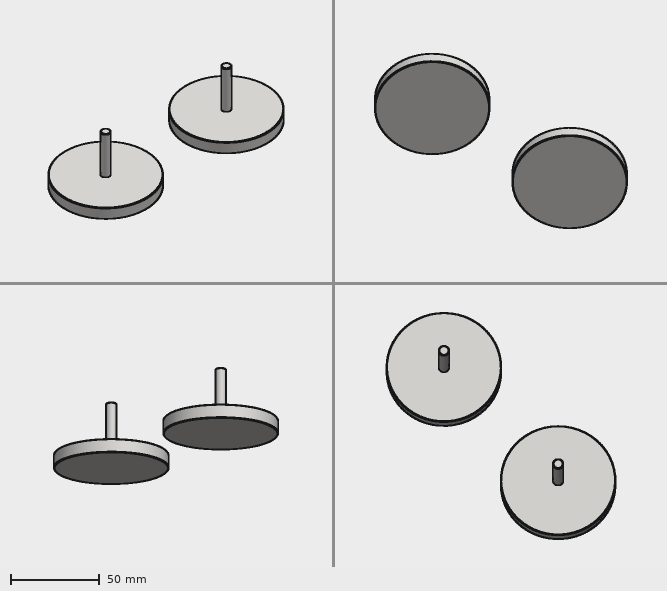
import cadquery as cq

overall_length = 158.0
overall_height = 38.0

disc_diameter = 65.0
disc_thickness = 8.0
disc_chamfer = 0.5

pin_diameter = 6.0
pin_length = overall_height - disc_thickness
pin_chamfer = 0.5

center_offset = (overall_length - disc_diameter) / 2
center_positions = [-center_offset, center_offset]


def make_disc(center_y):
    """Flat disc with both rims chamfered."""
    return (
        cq.Workplane("XY", origin=(0, center_y, 0))
        .circle(disc_diameter / 2)
        .extrude(disc_thickness)
        .edges("%CIRCLE")
        .chamfer(disc_chamfer)
    )


def make_pin(center_y):
    """Round pin with a chamfered tip, resting on the top face of its disc."""
    return (
        cq.Workplane("XY", origin=(0, center_y, disc_thickness))
        .circle(pin_diameter / 2)
        .extrude(pin_length)
        .faces(">Z")
        .edges()
        .chamfer(pin_chamfer)
    )


discs = [make_disc(center_y).val() for center_y in center_positions]
pins = [make_pin(center_y).val() for center_y in center_positions]

result = cq.Compound.makeCompound([*discs, *pins])